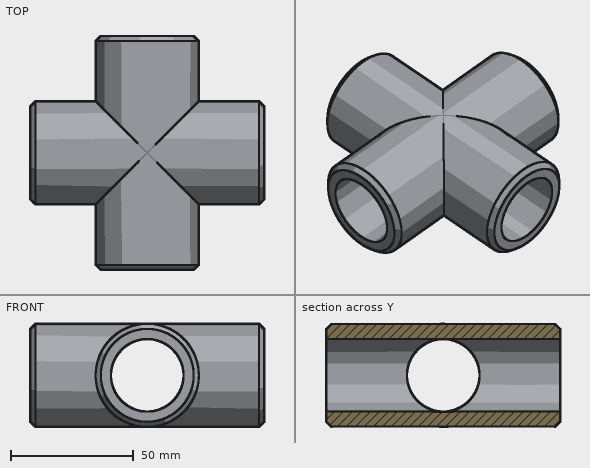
import cadquery as cq

length = 95.5
outer_diameter = 42.1
bore_diameter = 29.5
end_chamfer = 2.1


def centred_cylinder(plane, diameter):
    """Full-length cylinder centred on the origin, along the plane's normal."""
    return cq.Workplane(plane).circle(diameter / 2).extrude(length / 2, both=True)


def chamfered_pipe(plane):
    """Solid outer body of one pipe, chamfered at both open ends."""
    return centred_cylinder(plane, outer_diameter).edges("%CIRCLE").chamfer(end_chamfer)


pipe_planes = ("YZ", "XZ")

body = chamfered_pipe(pipe_planes[0]).union(chamfered_pipe(pipe_planes[1]))
for plane in pipe_planes:
    body = body.cut(centred_cylinder(plane, bore_diameter))

result = body